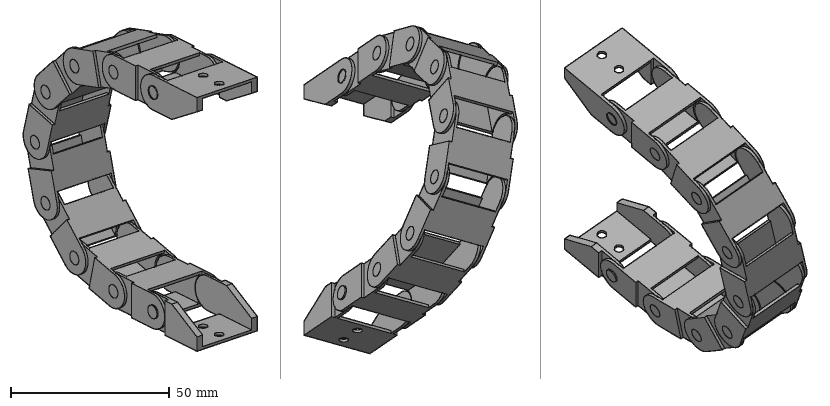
import cadquery as cq
import math

bend_radius = 38.0
pitch = 20.0

height = 12.0
half_height = height / 2
inner_width = 20.0
tongue_width = 22.0
fork_width = 24.0
plate_thickness = 1.0
pin_diameter = 4.5

lug_tip_setback = 0.5
tongue_shoulder = 9.0
fork_pocket_radius = 6.2
plate_setback = 4.0

bracket_width = 24.7
bracket_fork_gap = 22.4
bracket_length = 22.0
bracket_step = 6.0
nose_height = 5.0
nose_length = 12.5
bracket_pin_length = 25.0
hole_diameter = 3.0
hole_positions = (10.0, 18.0)


def box(x_start, x_end, width, z_bottom, z_top):
    """Block centred on Y."""
    return (
        cq.Workplane("XY")
        .box(x_end - x_start, width, z_top - z_bottom, centered=(False, True, False))
        .translate((x_start, 0, z_bottom))
    )


def extrude_across(sketch, width):
    """Extrude an XZ outline evenly to both sides of Y = 0."""
    return sketch.extrude(width / 2, both=True)


def joint_cylinder(x, diameter, width):
    """Cylinder along Y on the joint axis at x."""
    return extrude_across(cq.Workplane("XZ").center(x, 0).circle(diameter / 2), width)


def lug_slab(arc_centre, flat_end, width):
    """Slab as tall as the chain, rounded about arc_centre and flat at flat_end."""
    tip = arc_centre - math.copysign(half_height, flat_end - arc_centre)
    sketch = (
        cq.Workplane("XZ")
        .moveTo(flat_end, -half_height)
        .lineTo(arc_centre, -half_height)
        .threePointArc((tip, 0), (arc_centre, half_height))
        .lineTo(flat_end, half_height)
        .close()
    )
    return extrude_across(sketch, width)


def side_pins(x, length):
    """Pair of pins reaching outward from the inner faces of the side walls."""
    return joint_cylinder(x, pin_diameter, length).cut(joint_cylinder(x, pin_diameter, inner_width))


def make_link():
    """Link with its fork joint at the origin and its tongue joint one pitch along +X."""
    shoulder = pitch - tongue_shoulder
    fork = lug_slab(lug_tip_setback, shoulder, fork_width)
    open_end = box(-height, plate_setback, tongue_width, -half_height, half_height)
    pocket = joint_cylinder(0, 2 * fork_pocket_radius, tongue_width).union(open_end)
    tongue = lug_slab(pitch - lug_tip_setback, shoulder, tongue_width)
    cavity = box(-height, pitch + height, inner_width, -half_height, half_height)
    walls = fork.cut(pocket).union(tongue).cut(cavity)
    walls = walls.cut(joint_cylinder(0, pin_diameter, fork_width))

    link = walls.union(side_pins(pitch, fork_width))
    plate_start = plate_setback
    plate_end = pitch - plate_setback
    for z in (-half_height, half_height - plate_thickness):
        link = link.union(box(plate_start, plate_end, tongue_width, z, z + plate_thickness))
    return link


def bracket_body():
    """Bracket side outline with a sloped underside, plated on top and hollow beyond the step."""
    sketch = (
        cq.Workplane("XZ")
        .moveTo(0, half_height)
        .lineTo(bracket_length, half_height)
        .lineTo(bracket_length, half_height - nose_height)
        .lineTo(bracket_length - nose_length, -half_height)
        .lineTo(0, -half_height)
        .threePointArc((-half_height, 0), (0, half_height))
        .close()
    )
    body = extrude_across(sketch, bracket_width)
    plate_bottom = half_height - plate_thickness
    body = body.cut(box(bracket_step, bracket_length, inner_width, -half_height, plate_bottom))
    holes = (
        cq.Workplane("XY", origin=(0, 0, plate_bottom))
        .pushPoints([(x, 0) for x in hole_positions])
        .circle(hole_diameter / 2)
        .extrude(plate_thickness)
    )
    return body.cut(holes)


def make_fork_bracket():
    """Bracket whose fork lugs straddle the tongue of the first link."""
    gap = box(-height, bracket_step, bracket_fork_gap, -half_height, half_height)
    return bracket_body().cut(gap).cut(joint_cylinder(0, pin_diameter, bracket_width))


def make_tongue_bracket():
    """Bracket with tongue lugs and pins that fit the fork of the last link, plate at the bottom."""
    end_zone = box(-height, bracket_step, bracket_width, -half_height, half_height)
    cavity = box(-height, bracket_step, inner_width, -half_height, half_height)
    lugs = lug_slab(0, bracket_step, tongue_width).cut(cavity)
    bracket = bracket_body().cut(end_zone).union(lugs)
    bracket = bracket.union(side_pins(0, bracket_pin_length))
    return bracket.mirror("XY")


def joint_points():
    """Joint axes (x, z) from the upper bracket round to the lower bracket."""
    step_angle = 2 * math.asin(pitch / 2 / bend_radius)
    on_bend = []
    for i in (2, 1):
        on_bend.append((-bend_radius * math.cos(i * step_angle), bend_radius * math.sin(i * step_angle)))
    bend_end_x, bend_end_z = on_bend[0]
    straight_start = bend_end_x + math.sqrt(pitch**2 - (bend_radius - bend_end_z) ** 2)
    upper = [(straight_start + pitch, bend_radius), (straight_start, bend_radius)] + on_bend
    lower = [(x, -z) for x, z in reversed(upper)]
    return upper + [(-bend_radius, 0)] + lower


joints = joint_points()

link_shape = make_link()
links = []
for tongue_joint, fork_joint in zip(joints, joints[1:]):
    heading = math.atan2(tongue_joint[1] - fork_joint[1], tongue_joint[0] - fork_joint[0])
    turned = link_shape.rotate((0, 0, 0), (0, 1, 0), -math.degrees(heading))
    links.append(turned.translate((fork_joint[0], 0, fork_joint[1])))

fork_bracket = make_fork_bracket().translate((joints[0][0], 0, joints[0][1]))
tongue_bracket = make_tongue_bracket().translate((joints[-1][0], 0, joints[-1][1]))

result = cq.Compound.makeCompound(
    [fork_bracket.val(), tongue_bracket.val(), *[link.val() for link in links]]
)